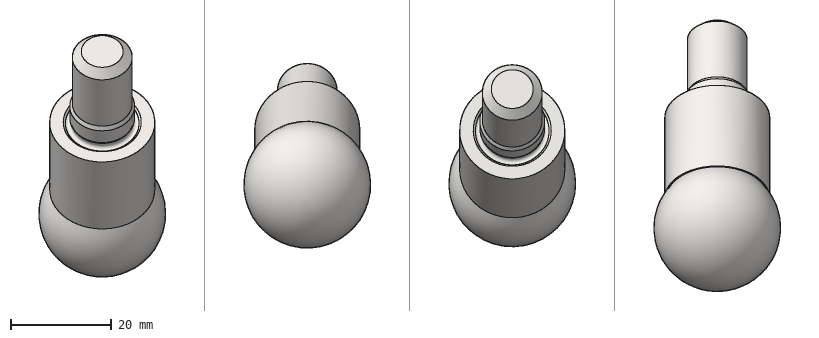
import cadquery as cq
import math

total_height = 62.4
ball_diameter = 25.4

sleeve_diameter = 21.0
sleeve_bottom = 20.2
sleeve_top = 40.75
bore_diameter = 14.7
bore_chamfer = 0.45

shank_diameter = 12.0
tip_diameter = 8.35
tip_height = 1.75
collar_diameter = 13.0
collar_bottom = 42.0
collar_top = 45.6
collar_top_chamfer_height = 0.9
collar_bottom_chamfer_height = 0.55
groove_floor_diameter = 12.4
groove_radius = 0.6

ball_radius = ball_diameter / 2
bore_radius = bore_diameter / 2


def make_ball():
    """Ball cut flat at the top, where the sleeve and pin stand on it."""
    sphere = cq.Workplane("XY").sphere(ball_radius).translate((0, 0, ball_radius))
    space_above_flat = (
        cq.Workplane("XY")
        .workplane(offset=sleeve_bottom)
        .circle(ball_radius)
        .extrude(ball_diameter - sleeve_bottom)
    )
    return sphere.cut(space_above_flat)


def make_sleeve():
    """Plain tube with a chamfer at the upper mouth of its bore."""
    tube = (
        cq.Workplane("XY")
        .workplane(offset=sleeve_bottom)
        .circle(sleeve_diameter / 2)
        .circle(bore_radius)
        .extrude(sleeve_top - sleeve_bottom)
    )
    bore_rim = tube.faces(">Z").edges(cq.selectors.RadiusNthSelector(0))
    return bore_rim.chamfer(bore_chamfer)


def make_pin():
    """Turned pin: seat in the sleeve, round groove, collar, shank and tapered tip."""
    shank_radius = shank_diameter / 2
    collar_radius = collar_diameter / 2
    groove_top = collar_bottom - collar_bottom_chamfer_height

    groove_center_radius = groove_floor_diameter / 2 + groove_radius
    seat_drop = math.sqrt(groove_radius**2 - (bore_radius - groove_center_radius) ** 2)
    seat_top = sleeve_top - seat_drop

    profile = (
        cq.Workplane("XZ")
        .moveTo(0, sleeve_bottom)
        .lineTo(bore_radius, sleeve_bottom)
        .lineTo(bore_radius, seat_top)
        .threePointArc(
            (groove_center_radius, sleeve_top - groove_radius),
            (groove_floor_diameter / 2, sleeve_top),
        )
        .lineTo(groove_floor_diameter / 2, groove_top)
        .lineTo(collar_radius, collar_bottom)
        .lineTo(collar_radius, collar_top)
        .lineTo(shank_radius, collar_top + collar_top_chamfer_height)
        .lineTo(shank_radius, total_height - tip_height)
        .lineTo(tip_diameter / 2, total_height)
        .lineTo(0, total_height)
        .close()
    )
    return profile.revolve(360, (0, 0, 0), (0, 1, 0))


ball = make_ball()
sleeve = make_sleeve()
pin = make_pin()

result = cq.Compound.makeCompound([ball.val(), sleeve.val(), pin.val()])